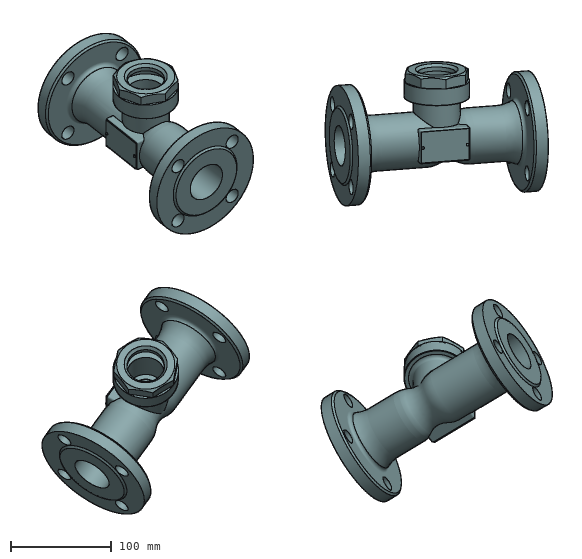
import cadquery as cq
import math

overall_length = 200.0
pipe_diameter = 56.0
bore_diameter = 40.0
bore_depth = 70.0

flange_diameter = 120.0
flange_back = 16.5
flange_back_chamfer = 2.0
raised_face_diameter = 75.2
raised_face_height = 2.0
bolt_hole_diameter = 15.0
bolt_circle_diameter = 95.0
bolt_count = 4

hub_end = 35.8
hub_neck = 20.5
hub_neck_radius = 31.5
hub_root_radius = 35.2
hub_fillet_bow = 0.8

waist_x = 10.0
waist_half_length = 22.5
waist_inner_half_length = 10.5
waist_depth = 5.2

neck_diameter = 47.0
thread_diameter = 56.0
neck_flare_height = 3.8
neck_top = 53.2
well_diameter = 37.0
well_floor = 20.0

seat_pad_diameter = 25.0
seat_diameter = 23.0
seat_step = 1.0
ball_diameter = 19.5

pad_width = 52.0
pad_bottom = -16.8
pad_top = 17.5
pad_y = -29.5
pad_corner_radius = 2.0
pad_edge_fillet = 1.2
plate_thickness = 1.2
rivet_spacing = 46.0
rivet_diameter = 2.8

nut_diameter = 65.0
nut_sides = 8
nut_bottom = 42.5
nut_octagon_bottom = 59.5
nut_top = 71.0
nut_top_flat_diameter = 57.5
nut_top_chamfer_angle = 30.0
nut_bottom_chamfer = 0.5
nut_lip_height = 7.0
window_diameter = 37.0
window_chamfer = 2.8

half_length = overall_length / 2
pipe_radius = pipe_diameter / 2


def cylinder_z(diameter, bottom, top):
    return cq.Workplane("XY").workplane(offset=bottom).circle(diameter / 2).extrude(top - bottom)


def waist_arcs():
    """End and middle points of the three tangent arcs of the waist, as (x, radius) pairs from -X to +X."""
    turn = 2 * math.atan(waist_depth / waist_half_length)
    outer_arc = (waist_half_length - waist_inner_half_length) / math.sin(turn)
    inner_arc = waist_inner_half_length / math.sin(turn)
    half_turn_x = outer_arc * math.sin(turn / 2)
    half_turn_drop = outer_arc * (1 - math.cos(turn / 2))
    inflection_radius = pipe_radius - outer_arc * (1 - math.cos(turn))
    bottom_radius = inflection_radius - inner_arc * (1 - math.cos(turn))
    left = [
        (waist_x - waist_half_length, pipe_radius),
        (waist_x - waist_half_length + half_turn_x, pipe_radius - half_turn_drop),
        (waist_x - waist_inner_half_length, inflection_radius),
    ]
    right = [(2 * waist_x - x, radius) for x, radius in reversed(left)]
    return left, (waist_x, bottom_radius), right


def pipe_run():
    """Pipe, waist, hubs and flanges, turned about X."""
    face_radius = raised_face_diameter / 2
    flange_radius = flange_diameter / 2
    hub_run = hub_end - hub_neck
    hub_rise = hub_neck_radius - pipe_radius
    hub_arc = (hub_run**2 + hub_rise**2) / (2 * hub_rise)
    fillet_middle = (
        (flange_back + hub_neck) / 2 - hub_fillet_bow,
        (hub_root_radius + hub_neck_radius) / 2 - hub_fillet_bow,
    )
    left, bottom, right = waist_arcs()

    def hub_middle():
        run = hub_run / 2
        return hub_end - run, pipe_radius + hub_arc - math.sqrt(hub_arc**2 - run**2)

    flange = [
        (0, 0),
        (0, face_radius),
        (raised_face_height, face_radius + raised_face_height),
        (raised_face_height, flange_radius),
        (flange_back - flange_back_chamfer, flange_radius),
        (flange_back, flange_radius - flange_back_chamfer),
        (flange_back, hub_root_radius),
    ]

    def at_left(point):
        return point[0] - half_length, point[1]

    def at_right(point):
        return half_length - point[0], point[1]

    neck_point = (hub_neck, hub_neck_radius)
    profile = (
        cq.Workplane("XY")
        .polyline([at_left(p) for p in flange])
        .threePointArc(at_left(fillet_middle), at_left(neck_point))
        .threePointArc(at_left(hub_middle()), at_left((hub_end, pipe_radius)))
        .lineTo(*left[0])
        .threePointArc(left[1], left[2])
        .threePointArc(bottom, right[0])
        .threePointArc(right[1], right[2])
        .lineTo(*at_right((hub_end, pipe_radius)))
        .threePointArc(at_right(hub_middle()), at_right(neck_point))
        .threePointArc(at_right(fillet_middle), at_right(flange[-1]))
    )
    for point in reversed(flange[:-1]):
        profile = profile.lineTo(*at_right(point))
    return profile.close().revolve(360, (0, 0, 0), (1, 0, 0))


def neck():
    """Neck with a flared shoulder and the threaded top that the nut goes on."""
    neck_radius = neck_diameter / 2
    thread_radius = thread_diameter / 2
    flare = neck_flare_height
    flare_middle = flare * (1 - math.sqrt(0.5))
    return (
        cq.Workplane("XZ")
        .lineTo(neck_radius, 0)
        .lineTo(neck_radius, nut_bottom - flare)
        .threePointArc(
            (neck_radius + flare_middle, nut_bottom - flare_middle),
            (neck_radius + flare, nut_bottom),
        )
        .lineTo(thread_radius, nut_bottom)
        .lineTo(thread_radius, neck_top)
        .lineTo(0, neck_top)
        .close()
        .revolve(360, (0, 0, 0), (0, 1, 0))
    )


def ball_seat():
    """Stepped seat with a rounded rim and the ball that rests in it."""
    seat_radius = seat_diameter / 2
    ball_radius = ball_diameter / 2
    pad_radius = seat_pad_diameter / 2
    pad_top = well_floor + seat_step
    rim = pad_top + seat_step
    rim_round = (seat_radius - ball_radius) / 2
    return (
        cq.Workplane("XZ")
        .moveTo(0, well_floor)
        .lineTo(pad_radius, well_floor)
        .lineTo(pad_radius, pad_top)
        .lineTo(seat_radius, pad_top)
        .lineTo(seat_radius, rim)
        .threePointArc((seat_radius - rim_round, rim + rim_round), (ball_radius, rim))
        .threePointArc(
            (ball_radius * math.sqrt(0.5), rim + ball_radius * math.sqrt(0.5)),
            (0, rim + ball_radius),
        )
        .close()
        .revolve(360, (0, 0, 0), (0, 1, 0))
    )


def name_plate():
    """Pad with rounded edges, the plate that covers its flat face, and two round-headed rivets."""
    pad_height = pad_top - pad_bottom
    pad = (
        cq.Workplane("XZ")
        .center(0, (pad_top + pad_bottom) / 2)
        .rect(pad_width, pad_height)
        .extrude(-pad_y)
        .edges("|Y")
        .fillet(pad_corner_radius)
        .faces("<Y")
        .edges()
        .fillet(pad_edge_fillet)
    )
    plate = (
        cq.Workplane("XZ", origin=(0, pad_y, (pad_top + pad_bottom) / 2))
        .rect(pad_width - 2 * pad_edge_fillet, pad_height - 2 * pad_edge_fillet)
        .extrude(plate_thickness)
        .edges("|Y")
        .fillet(pad_corner_radius - pad_edge_fillet)
    )
    rivets = (
        cq.Workplane("XZ", origin=(0, pad_y - plate_thickness, 0))
        .pushPoints([(-rivet_spacing / 2, 0), (rivet_spacing / 2, 0)])
        .sphere(rivet_diameter / 2)
    )
    return pad.union(plate).union(rivets)


def bores():
    """Blind bore at each end of the pipe."""
    ends = [
        cq.Workplane("YZ", origin=(side * half_length, 0, 0))
        .circle(bore_diameter / 2)
        .extrude(-side * bore_depth)
        for side in (-1, 1)
    ]
    return ends[0].union(ends[1])


def bolt_holes():
    """Holes through both flanges, straddling the Y and Z axes."""
    return (
        cq.Workplane("YZ", origin=(-half_length, 0, 0))
        .polarArray(bolt_circle_diameter / 2, 180 / bolt_count, 360, bolt_count)
        .circle(bolt_hole_diameter / 2)
        .extrude(overall_length)
    )


def make_housing():
    outside = pipe_run().union(neck()).union(name_plate())
    well = cylinder_z(well_diameter, well_floor, neck_top)
    return outside.cut(bores()).cut(bolt_holes()).cut(well).union(ball_seat())


def make_nut():
    """Octagon over a round skirt, bored for the neck, with a chamfered window in the top."""
    skirt = cylinder_z(nut_diameter, nut_bottom, nut_octagon_bottom)
    skirt = skirt.faces("<Z").chamfer(nut_bottom_chamfer)
    octagon = (
        cq.Workplane("XY")
        .workplane(offset=nut_octagon_bottom)
        .polygon(nut_sides, nut_diameter)
        .extrude(nut_top - nut_octagon_bottom)
    )
    chamfer_width = (nut_diameter - nut_top_flat_diameter) / 2
    chamfer_drop = chamfer_width * math.tan(math.radians(nut_top_chamfer_angle))
    envelope = (
        cylinder_z(nut_diameter, nut_octagon_bottom, nut_top)
        .faces(">Z")
        .chamfer(chamfer_drop, chamfer_width)
    )
    thread_bore = cylinder_z(thread_diameter, nut_bottom, nut_top - nut_lip_height)
    window = cylinder_z(window_diameter, nut_bottom, nut_top)
    nut = skirt.union(octagon.intersect(envelope)).cut(thread_bore).cut(window)
    window_edge = nut.faces(">Z").edges("%CIRCLE").edges(cq.selectors.RadiusNthSelector(0))
    return window_edge.chamfer(window_chamfer)


housing = make_housing()
nut = make_nut()
result = cq.Compound.makeCompound([housing.solids().val(), nut.solids().val()])